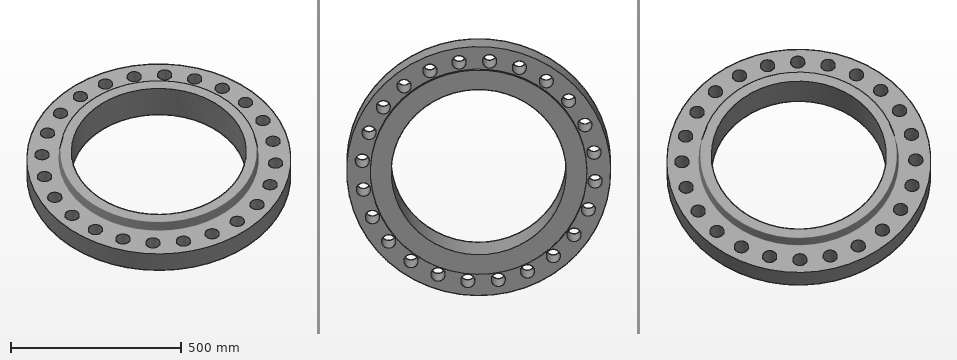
import cadquery as cq

flange_diameter = 774.7
flange_thickness = 69.85

face_diameter = 635.0
face_height = 9.525

hub_base_diameter = 587.4
hub_top_diameter = 577.0
hub_fillet_radius = 1.5
overall_height = 111.125

bore_diameter = 513.1

bolt_count = 24
bolt_circle_diameter = 685.8
bolt_hole_diameter = 41.275

bottom_z = -face_height
top_z = bottom_z + overall_height


def make_body():
    """Revolve the half section of face, disc and hub around the bore."""
    bore_radius = bore_diameter / 2
    half_section = (
        cq.Workplane("XZ")
        .moveTo(bore_radius, bottom_z)
        .lineTo(face_diameter / 2, bottom_z)
        .lineTo(face_diameter / 2, 0)
        .lineTo(flange_diameter / 2, 0)
        .lineTo(flange_diameter / 2, flange_thickness)
        .lineTo(hub_base_diameter / 2, flange_thickness)
        .lineTo(hub_top_diameter / 2, top_z)
        .lineTo(bore_radius, top_z)
        .close()
    )
    return half_section.revolve(360, (0, 0, 0), (0, 1, 0))


def round_hub(body):
    """Round the outer rim of the hub and the corner where it meets the disc."""
    outermost = cq.selectors.RadiusNthSelector(-1)
    innermost = cq.selectors.RadiusNthSelector(0)
    rounded_rim = body.faces(">Z").edges(outermost).fillet(hub_fillet_radius)
    return rounded_rim.faces("+Z").faces("<Z").edges(innermost).fillet(hub_fillet_radius)


def make_bolt_holes():
    """Cylinders on the bolt circle, one of them on the +X axis."""
    return (
        cq.Workplane("XY")
        .polarArray(bolt_circle_diameter / 2, 0, 360, bolt_count)
        .circle(bolt_hole_diameter / 2)
        .extrude(flange_thickness)
    )


result = round_hub(make_body()).cut(make_bolt_holes())